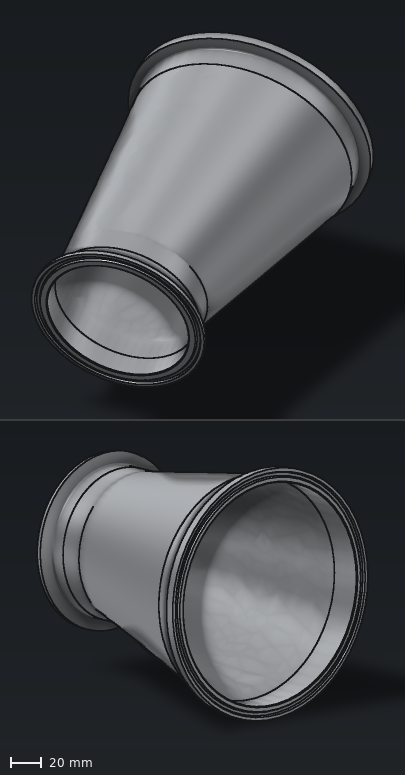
import cadquery as cq
import math

TOTAL_LENGTH = 193.7
WALL = 2.1

SMALL_TUBE_RADIUS = 50.7
SMALL_FLANGE_RADIUS = 59.5
SMALL_RIM_WIDTH = 3.3
SMALL_FERRULE_LENGTH = 15.9
SMALL_GROOVE_RADIUS = 55.2
STRAIGHT_LENGTH = 15.9

LARGE_TUBE_RADIUS = 76.1
LARGE_FLANGE_RADIUS = 83.5
LARGE_RIM_WIDTH = 6.2
LARGE_FERRULE_LENGTH = 22.5

FLANGE_BACK_ANGLE = 16.0
NECK_FILLET = 1.5
BORE_CHAMFER = 0.5
GROOVE_MOUTH_WIDTH = 3.7
GROOVE_FLOOR_WIDTH = 2.1
GROOVE_DEPTH = 1.5

ECCENTRICITY = LARGE_TUBE_RADIUS - SMALL_TUBE_RADIUS
GROOVE_INSET = SMALL_FLANGE_RADIUS - SMALL_GROOVE_RADIUS


def make_ferrule(tube_radius, flange_radius, rim_width, length):
    """Ferrule about the Y axis with its sealing face at y = 0 and its tube toward +Y."""
    bore_radius = tube_radius - WALL
    groove_radius = flange_radius - GROOVE_INSET
    mouth = GROOVE_MOUTH_WIDTH / 2
    floor = GROOVE_FLOOR_WIDTH / 2

    angle = math.radians(FLANGE_BACK_ANGLE)
    corner_y = rim_width + (flange_radius - tube_radius) * math.tan(angle)
    tangent_length = NECK_FILLET * math.tan((math.pi / 2 - angle) / 2)
    cone_end = (
        tube_radius + tangent_length * math.cos(angle),
        corner_y - tangent_length * math.sin(angle),
    )
    neck_start = (tube_radius, corner_y + tangent_length)
    middle_angle = (math.pi / 2 - angle) / 2
    fillet_middle = (
        tube_radius + NECK_FILLET * (1 - math.cos(middle_angle)),
        neck_start[1] - NECK_FILLET * math.sin(middle_angle),
    )

    return (
        cq.Workplane("XY")
        .moveTo(bore_radius + BORE_CHAMFER, 0)
        .lineTo(groove_radius - mouth, 0)
        .lineTo(groove_radius - floor, GROOVE_DEPTH)
        .lineTo(groove_radius + floor, GROOVE_DEPTH)
        .lineTo(groove_radius + mouth, 0)
        .lineTo(flange_radius, 0)
        .lineTo(flange_radius, rim_width)
        .lineTo(*cone_end)
        .threePointArc(fillet_middle, neck_start)
        .lineTo(tube_radius, length)
        .lineTo(bore_radius, length)
        .lineTo(bore_radius, BORE_CHAMFER)
        .close()
        .revolve(360, (0, 0, 0), (0, 1, 0))
    )


def make_reducer_core(inset):
    """Solid straight and eccentric cone, with both radii reduced by inset."""
    start_y = SMALL_FERRULE_LENGTH
    cone_start_y = start_y + STRAIGHT_LENGTH
    cone_end_y = TOTAL_LENGTH - LARGE_FERRULE_LENGTH
    small_radius = SMALL_TUBE_RADIUS - inset
    large_radius = LARGE_TUBE_RADIUS - inset
    along_y = cq.Vector(0, 1, 0)
    cone_start = cq.Vector(-ECCENTRICITY, cone_start_y, 0)
    cone_end = cq.Vector(0, cone_end_y, 0)

    straight = cq.Solid.makeCylinder(
        small_radius, STRAIGHT_LENGTH, cq.Vector(-ECCENTRICITY, start_y, 0), along_y
    )
    cone = cq.Solid.makeLoft(
        [
            cq.Wire.makeCircle(small_radius, cone_start, along_y),
            cq.Wire.makeCircle(large_radius, cone_end, along_y),
        ],
        True,
    )
    return cq.Workplane(straight).union(cq.Workplane(cone))


small_ferrule = make_ferrule(
    SMALL_TUBE_RADIUS, SMALL_FLANGE_RADIUS, SMALL_RIM_WIDTH, SMALL_FERRULE_LENGTH
).translate((-ECCENTRICITY, 0, 0))

large_ferrule = (
    make_ferrule(LARGE_TUBE_RADIUS, LARGE_FLANGE_RADIUS, LARGE_RIM_WIDTH, LARGE_FERRULE_LENGTH)
    .rotate((0, 0, 0), (0, 0, 1), 180)
    .translate((0, TOTAL_LENGTH, 0))
)

reducer = make_reducer_core(0).cut(make_reducer_core(WALL)).solids()

result = cq.Compound.makeCompound([small_ferrule.val(), reducer.val(), large_ferrule.val()])